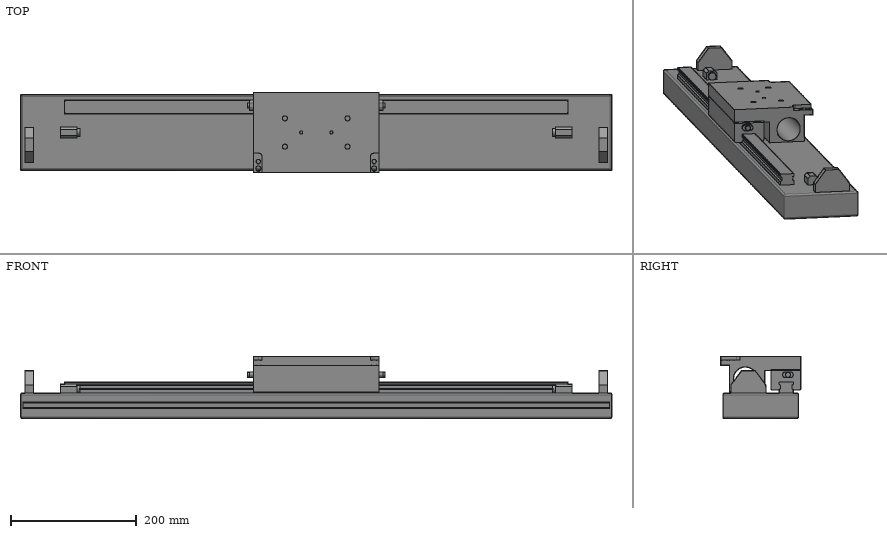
import cadquery as cq

ENDS = (-1, 1)

base_length = 940.0
base_width = 120.0
base_height = 40.0
base_edge_radius = 3.0
base_corner_radius = 1.0

groove_bottom = 16.0
groove_top = 26.0
groove_depth = 2.0
groove_end_gap = 4.0

stop_outer_end = 407.0
stop_block_length = 26.0
stop_width = 17.0
stop_height = 14.0
stop_bevel = 4.0
buffer_diameter = 12.0
buffer_length = 5.0

end_block_gap = 7.0
end_block_thickness = 14.0
end_block_y = -20.0
end_block_width = 55.0
end_block_top = 76.0
end_block_flat = 22.0
end_block_shoulder = 54.0

rail_length = 800.0
rail_y = 40.0
rail_width = 23.0
rail_neck_width = 18.0
rail_top = 58.0
rail_bevel = 1.0
rail_head_bottom = 54.5
rail_neck_top = 53.0
rail_neck_bottom = 48.0
rail_foot_top = 46.0

carriage_length = 200.0
carriage_width = 128.0
carriage_top = 99.0
carriage_bottom = 42.0
overhang_bottom = 85.0
plate_bottom = 76.0
block_front = -50.0
block_back = 7.0
bore_diameter = 38.0
bore_y = -24.0
bore_z = 63.0

mount_hole_diameter = 8.0
mount_spacing_x = 100.0
mount_spacing_y = 45.0
pin_hole_diameter = 5.0
pin_spacing = 48.0
hole_depth = 11.0

pocket_length = 14.0
pocket_width = 31.0
pocket_depth = 6.0
pocket_corner_radius = 6.0
pocket_hole_inset = 8.0
pocket_inner_hole_diameter = 6.7
pocket_inner_hole_distance = 18.0
pocket_outer_hole_diameter = 8.1
pocket_outer_hole_distance = 7.0

runner_front = 16.0
runner_back = carriage_width / 2
runner_bottom = 45.0
runner_top = 78.0
runner_edge_bevel = 2.0
runner_end_bevel = 2.0

nipple_y = 43.0
nipple_z = 70.0
nipple_width = 17.0
nipple_height = 9.0
nipple_collar_length = 6.0
nipple_tip_diameter = 8.1
nipple_tip_length = 4.0


def box_between(x_range, y_range, z_range):
    """Box given by its limits along each axis."""
    (x0, x1), (y0, y1), (z0, z1) = x_range, y_range, z_range
    return cq.Workplane("XY").box(x1 - x0, y1 - y0, z1 - z0, centered=False).translate((x0, y0, z0))


def along_x(outline, x_start, x_end):
    """Extrude a closed (y, z) outline from x_start to x_end."""
    plane = cq.Workplane("YZ", origin=(x_start, 0, 0))
    return plane.polyline(outline).close().extrude(x_end - x_start)


def rod_along_x(diameter, y, z, x_start, x_end):
    """Cylinder along X from x_start to x_end."""
    plane = cq.Workplane("YZ", origin=(x_start, 0, 0))
    return plane.center(y, z).circle(diameter / 2).extrude(x_end - x_start)


def shouldered_outline(y_centre, width, flat, top, shoulder):
    """Upright (y, z) outline on the base whose top corners are cut by slopes."""
    return [
        (y_centre - width / 2, base_height),
        (y_centre + width / 2, base_height),
        (y_centre + width / 2, shoulder),
        (y_centre + flat / 2, top),
        (y_centre - flat / 2, top),
        (y_centre - width / 2, shoulder),
    ]


def make_stop(end):
    """Travel stop at the -X end (end = -1) or the +X end (end = 1)."""
    top = base_height + stop_height
    outline = shouldered_outline(0, stop_width, stop_width - 2 * stop_bevel, top, top - stop_bevel)
    block_inner_end = stop_outer_end - stop_block_length
    block = along_x(outline, end * stop_outer_end, end * block_inner_end)
    buffer_z = base_height + buffer_diameter / 2
    buffer_inner_end = block_inner_end - buffer_length
    buffer = rod_along_x(buffer_diameter, 0, buffer_z, end * block_inner_end, end * buffer_inner_end)
    return block.union(buffer)


def make_base():
    """Base bar with rounded edges, the front groove and both travel stops."""
    bar = cq.Workplane("XY").box(base_length, base_width, base_height, centered=(True, True, False))
    bar = bar.edges("|Z").fillet(base_corner_radius)
    bar = bar.faces("<Z or >Z").edges().fillet(base_edge_radius)
    front = -base_width / 2
    groove_outline = [
        (front, groove_bottom),
        (front + groove_depth, groove_bottom + groove_depth),
        (front + groove_depth, groove_top - groove_depth),
        (front, groove_top),
    ]
    groove_end = base_length / 2 - groove_end_gap
    bar = bar.cut(along_x(groove_outline, -groove_end, groove_end))
    for end in ENDS:
        bar = bar.union(make_stop(end))
    return bar


def make_end_block(end):
    """End block at the -X end (end = -1) or the +X end (end = 1)."""
    outline = shouldered_outline(
        end_block_y, end_block_width, end_block_flat, end_block_top, end_block_shoulder
    )
    outer_face = base_length / 2 - end_block_gap
    return along_x(outline, end * outer_face, end * (outer_face - end_block_thickness))


def make_rail():
    """Guide rail with a waisted profile, resting on the base."""
    half_profile = [
        (rail_width / 2, base_height),
        (rail_width / 2, rail_foot_top),
        (rail_neck_width / 2, rail_neck_bottom),
        (rail_neck_width / 2, rail_neck_top),
        (rail_width / 2, rail_head_bottom),
        (rail_width / 2, rail_top - rail_bevel),
        (rail_width / 2 - rail_bevel, rail_top),
    ]
    back_side = [(rail_y + offset, z) for offset, z in half_profile]
    front_side = [(rail_y - offset, z) for offset, z in reversed(half_profile)]
    return along_x(back_side + front_side, -rail_length / 2, rail_length / 2)


def runner_blank():
    """Plain runner block, which is also the shape of its seat in the carriage."""
    half_length = carriage_length / 2
    block = box_between((-half_length, half_length), (runner_front, runner_back), (runner_bottom, runner_top))
    return block.edges("|X and <Z").chamfer(runner_edge_bevel)


def make_nipple(end):
    """Grease nipple: an oblong collar and a round tip, standing out from one end of the runner."""
    face = end * carriage_length / 2
    collar_end = face + end * nipple_collar_length
    collar = (
        cq.Workplane("YZ", origin=(face, 0, 0))
        .center(nipple_y, nipple_z)
        .slot2D(nipple_width, nipple_height)
        .extrude(end * nipple_collar_length)
    )
    tip_end = collar_end + end * nipple_tip_length
    tip = rod_along_x(nipple_tip_diameter, nipple_y, nipple_z, collar_end, tip_end)
    return collar.union(tip)


def make_runner(rail):
    """Runner seated in the carriage, with a channel that matches the rail."""
    runner = runner_blank().edges("|Y and >Z").chamfer(runner_end_bevel).cut(rail)
    for end in ENDS:
        runner = runner.union(make_nipple(end))
    return runner


def cut_top_holes(carriage):
    """Four mounting holes and, between them, two pin holes."""
    top = carriage.faces(">Z").workplane(origin=(0, 0, carriage_top))
    carriage = top.rarray(mount_spacing_x, mount_spacing_y, 2, 2).hole(mount_hole_diameter, hole_depth)
    top = carriage.faces(">Z").workplane(origin=(0, 0, carriage_top))
    return top.rarray(pin_spacing, 9, 2, 1).hole(pin_hole_diameter, hole_depth)


def cut_corner_pocket(carriage, end):
    """Corner pocket at one end, open to the front and the side, with two through holes."""
    side = end * carriage_length / 2
    front = -carriage_width / 2
    floor = carriage_top - pocket_depth
    x_range = sorted((side, side - end * pocket_length))
    pocket = box_between(x_range, (front, front + pocket_width), (floor, carriage_top))
    inner_corner = "|Z and >Y and " + ("<X" if end > 0 else ">X")
    carriage = carriage.cut(pocket.edges(inner_corner).fillet(pocket_corner_radius))
    holes = [
        (pocket_inner_hole_diameter, pocket_inner_hole_distance),
        (pocket_outer_hole_diameter, pocket_outer_hole_distance),
    ]
    hole_x = side - end * pocket_hole_inset
    for diameter, front_distance in holes:
        hole = (
            cq.Workplane("XY", origin=(hole_x, front + front_distance, overhang_bottom))
            .circle(diameter / 2)
            .extrude(carriage_top - overhang_bottom)
        )
        carriage = carriage.cut(hole)
    return carriage


def make_carriage():
    """Carriage with its bore, runner seat, top holes and corner pockets."""
    half_length = carriage_length / 2
    half_width = carriage_width / 2
    outline = [
        (-half_width, carriage_top),
        (half_width, carriage_top),
        (half_width, plate_bottom),
        (block_back, plate_bottom),
        (block_back, carriage_bottom),
        (block_front, carriage_bottom),
        (block_front, overhang_bottom),
        (-half_width, overhang_bottom),
    ]
    carriage = along_x(outline, -half_length, half_length)
    carriage = carriage.cut(rod_along_x(bore_diameter, bore_y, bore_z, -half_length, half_length))
    carriage = cut_top_holes(carriage).cut(runner_blank())
    for end in ENDS:
        carriage = cut_corner_pocket(carriage, end)
    return carriage


base = make_base()
rail = make_rail()
runner = make_runner(rail)
carriage = make_carriage()
end_blocks = [make_end_block(end) for end in ENDS]

result = cq.Compound.makeCompound(
    [base.val(), rail.val(), runner.val(), carriage.val(), *[block.val() for block in end_blocks]]
)